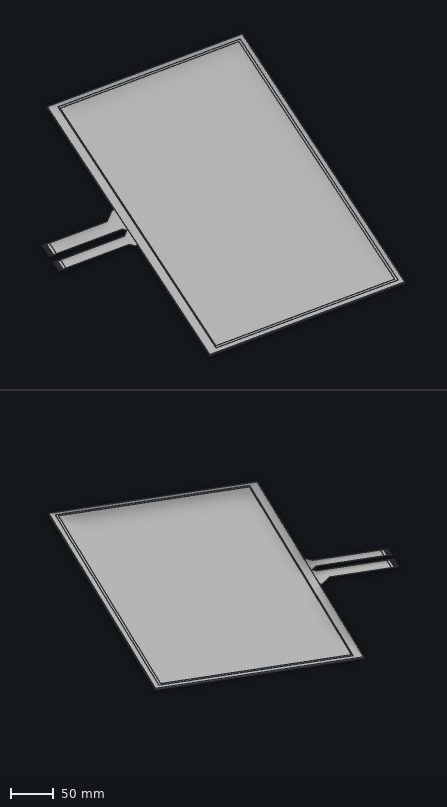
import cadquery as cq

panel_width = 427.5
panel_height = 254.0
panel_thickness = 2.2
total_height = 354.0

groove_margin = 6.0
groove_front_margin = 11.0
groove_width = 3.0
groove_front_width = 1.3
groove_depth = 0.15

tail_length = total_height - panel_height
film_thickness = 0.15
film_bottom = 1.9
film_top = film_bottom + film_thickness
film_overlap = 4.3
flare_start = 3.5

root_left, root_right = -36.8, 25.0
wide_left, wide_right = -24.0, -5.0
narrow_left, narrow_right = 5.0, 19.5
notch_x = -1.3
notch_gap = 1.5

stiffener_length = 9.0
stiffener_thickness = 0.13
contact_length = 5.0
contact_thickness = 0.05
contact_pitch = 1.03
contact_width = 0.5

front_edge = -panel_height / 2
tail_end = front_edge - tail_length
flare_line = front_edge - flare_start
notch_y = front_edge - notch_gap


def box(x_min, x_max, y_min, y_max, z_min, z_max):
    """Axis-aligned box between two opposite corners."""
    size = (x_max - x_min, y_max - y_min, z_max - z_min)
    return cq.Workplane("XY").box(*size, centered=False).translate((x_min, y_min, z_min))


def make_panel():
    """Plate with the border groove cut into its upper face."""
    half_width = panel_width / 2
    plate = box(-half_width, half_width, front_edge, -front_edge, 0, panel_thickness)

    outer_x = half_width - groove_margin
    inner_x = outer_x - groove_width
    outer_back = -front_edge - groove_margin
    inner_back = outer_back - groove_width
    outer_front = front_edge + groove_front_margin
    inner_front = outer_front + groove_front_width

    floor = panel_thickness - groove_depth
    outer = box(-outer_x, outer_x, outer_front, outer_back, floor, panel_thickness)
    inner = box(-inner_x, inner_x, inner_front, inner_back, floor, panel_thickness)
    return plate.cut(outer.cut(inner))


def make_tail_film():
    """Forked film: one flared root splitting into a wide and a narrow tail."""
    outline = [
        (root_left, front_edge + film_overlap),
        (root_left, flare_line),
        (wide_left, flare_line - (wide_left - root_left)),
        (wide_left, tail_end),
        (wide_right, tail_end),
        (wide_right, notch_y - (notch_x - wide_right)),
        (notch_x, notch_y),
        (narrow_left, notch_y - (narrow_left - notch_x)),
        (narrow_left, tail_end),
        (narrow_right, tail_end),
        (narrow_right, flare_line - (root_right - narrow_right)),
        (root_right, flare_line),
        (root_right, front_edge + film_overlap),
    ]
    film = cq.Workplane("XY").workplane(offset=film_bottom)
    return film.polyline(outline).close().extrude(film_thickness)


def make_stiffener(left, right, z_min):
    """Strip across the full width of a tail end."""
    return box(left, right, tail_end, tail_end + stiffener_length, z_min, z_min + stiffener_thickness)


def make_contacts(left, right, z_min):
    """Row of equal contact strips centred across a tail end."""
    count = int((right - left) / contact_pitch)
    middle = (left + right) / 2
    centres = [(middle + (i - (count - 1) / 2) * contact_pitch, tail_end + contact_length / 2)
               for i in range(count)]
    row = cq.Workplane("XY").workplane(offset=z_min).pushPoints(centres)
    return row.rect(contact_width, contact_length).extrude(contact_thickness)


result = make_panel().union(make_tail_film())

result = result.union(make_stiffener(wide_left, wide_right, film_top))
result = result.union(make_contacts(wide_left, wide_right, film_bottom - contact_thickness))

result = result.union(make_stiffener(narrow_left, narrow_right, film_bottom - stiffener_thickness))
result = result.union(make_contacts(narrow_left, narrow_right, film_top))